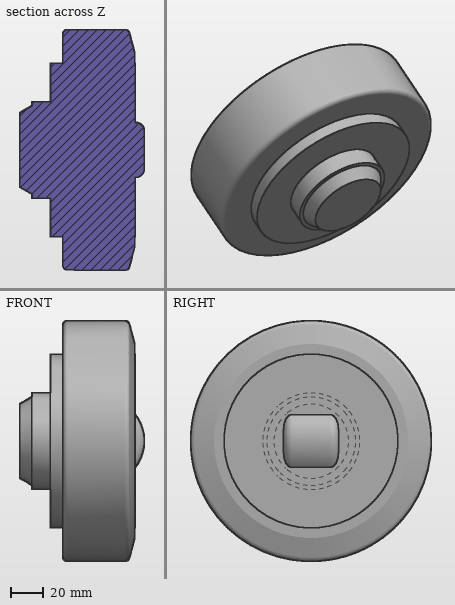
import cadquery as cq
import math

PIN_TIP_LENGTH = 7.6
SHOULDER_X = 19.1
ROLLER_START_X = 26.7
ROLLER_END_X = 71.5
CORE_END_X = 71.9
OVERALL_LENGTH = 77.5

PIN_BASE_RADIUS = 27.5
PIN_TAPER_ANGLE = 30
SHOULDER_RADIUS = 30.0
CORE_RADIUS = 54.0
ROLLER_RADIUS = 74.7
ROLLER_EDGE_FILLET = 3

BEVEL_INNER_RADIUS = 60.2
BEVEL_ANGLE = 15

PAD_CROWN_RADIUS = 26.5
PAD_LENGTH = 34.4
PAD_END_FILLET = 5.5


def revolve_about_x(radial_profile):
    """Revolve a closed (x, radius) outline about the X axis."""
    profile = cq.Workplane("XY").polyline(radial_profile).close()
    return profile.revolve(360, (0, 0, 0), (1, 0, 0))


def make_core():
    """Tapered pin, shoulder and flange running through to the +X face."""
    tip_radius = PIN_BASE_RADIUS - PIN_TIP_LENGTH * math.tan(math.radians(PIN_TAPER_ANGLE))
    return revolve_about_x([
        (0, 0),
        (0, tip_radius),
        (PIN_TIP_LENGTH, PIN_BASE_RADIUS),
        (PIN_TIP_LENGTH, SHOULDER_RADIUS),
        (SHOULDER_X, SHOULDER_RADIUS),
        (SHOULDER_X, CORE_RADIUS),
        (CORE_END_X, CORE_RADIUS),
        (CORE_END_X, 0),
    ])


def make_roller():
    """Outer ring with a bevelled +X side and rounded rim edges."""
    bevel_depth = (ROLLER_RADIUS - BEVEL_INNER_RADIUS) * math.tan(math.radians(BEVEL_ANGLE))
    bevel_start_x = ROLLER_END_X - bevel_depth
    roller = revolve_about_x([
        (ROLLER_START_X, 0),
        (ROLLER_START_X, ROLLER_RADIUS),
        (bevel_start_x, ROLLER_RADIUS),
        (ROLLER_END_X, BEVEL_INNER_RADIUS),
        (ROLLER_END_X, 0),
    ])
    middle_x = (ROLLER_START_X + bevel_start_x) / 2
    rim = roller.faces(cq.selectors.NearestToPointSelector((middle_x, ROLLER_RADIUS, 0)))
    return rim.edges("%CIRCLE").fillet(ROLLER_EDGE_FILLET)


def make_pad():
    """Crowned pad: a cylinder along Y with rounded ends, mostly buried in the core."""
    crown_axis_x = OVERALL_LENGTH - PAD_CROWN_RADIUS
    return (
        cq.Workplane("XZ", origin=(crown_axis_x, 0, 0))
        .circle(PAD_CROWN_RADIUS)
        .extrude(PAD_LENGTH / 2, both=True)
        .edges()
        .fillet(PAD_END_FILLET)
    )


result = make_core().union(make_roller()).union(make_pad())